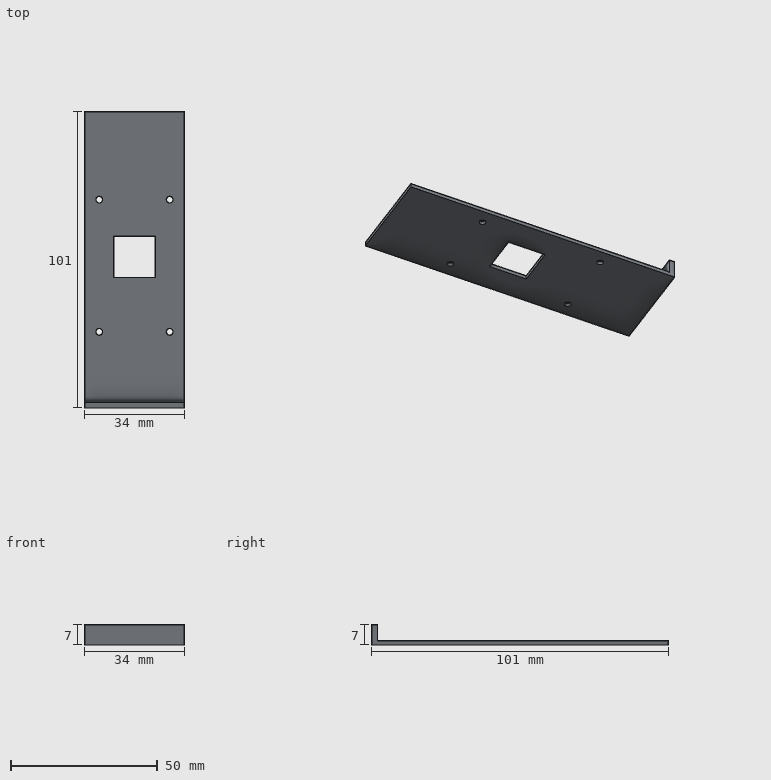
import cadquery as cq

width = 34.0
length = 101.0
plate_thickness = 1.5

lip_thickness = 2.0
lip_height = 7.0

window_size = 14.0
window_center_y = 51.5

hole_diameter = 2.2
hole_spacing_x = 24.0
hole_spacing_y = 45.0
hole_center_y = 48.5


def make_bracket():
    """L-shaped side outline, extruded across the width."""
    outline = [
        (0, 0),
        (length, 0),
        (length, plate_thickness),
        (lip_thickness, plate_thickness),
        (lip_thickness, lip_height),
        (0, lip_height),
    ]
    return cq.Workplane("YZ").polyline(outline).close().extrude(width / 2, both=True)


def make_window():
    """Square opening through the plate."""
    return (
        cq.Workplane("XY")
        .center(0, window_center_y)
        .rect(window_size, window_size)
        .extrude(plate_thickness)
    )


def make_mounting_holes():
    """Rectangular pattern of through holes."""
    return (
        cq.Workplane("XY")
        .center(0, hole_center_y)
        .rarray(hole_spacing_x, hole_spacing_y, 2, 2)
        .circle(hole_diameter / 2)
        .extrude(plate_thickness)
    )


result = make_bracket().cut(make_window()).cut(make_mounting_holes())